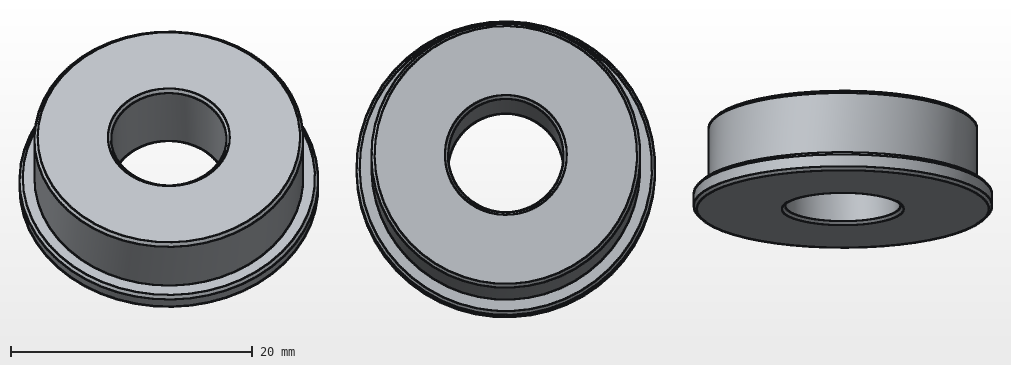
import cadquery as cq

flange_diameter = 24.7
flange_thickness = 1.55
body_diameter = 22.22
bore_diameter = 9.53
total_height = 7.15
edge_chamfer = 0.27


def chamfered_disc(diameter, height):
    """Disc standing on the XY plane with both rims chamfered."""
    disc = cq.Workplane("XY").circle(diameter / 2).extrude(height)
    return disc.faces("<Z or >Z").edges().chamfer(edge_chamfer)


flange = chamfered_disc(flange_diameter, flange_thickness)
body = chamfered_disc(body_diameter, total_height)
ring = flange.union(body)

bored_ring = ring.faces(">Z").workplane().hole(bore_diameter)
bore_mouths = cq.selectors.RadiusNthSelector(0)
result = bored_ring.faces("<Z or >Z").edges(bore_mouths).chamfer(edge_chamfer)